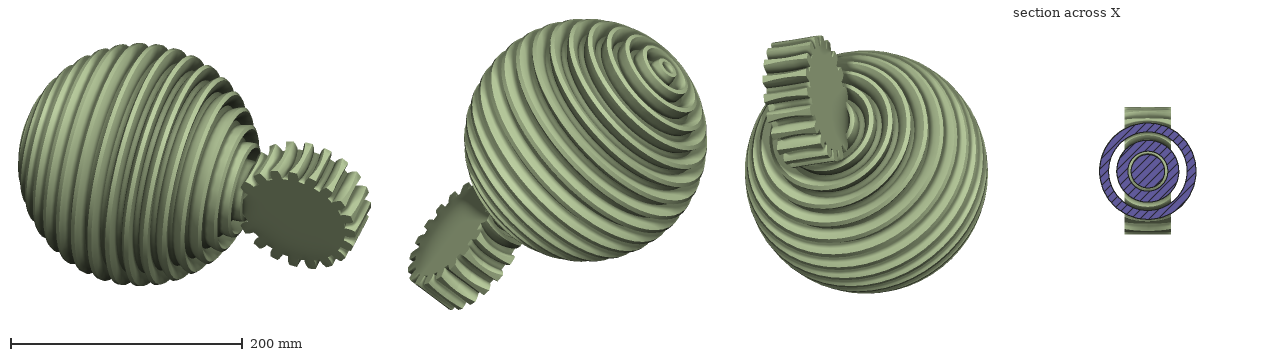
import cadquery as cq
import math

BALL_TEETH = 40
SADDLE_TEETH = 20
PRESSURE_ANGLE = math.radians(20)
OVERALL_LENGTH = 309.8
FACE_WIDTH = 40.0

ADDENDUM_RATIO = 1.0
DEDENDUM_RATIO = 1.25

ball_pitch_step = 2 * math.pi / BALL_TEETH
saddle_pitch_step = 2 * math.pi / SADDLE_TEETH


def half_tooth_angle(teeth, pitch_radius, radius):
    """Half the angle that an involute tooth spans at the given radius."""
    base_radius = pitch_radius * math.cos(PRESSURE_ANGLE)
    roll_angle = math.acos(min(1.0, base_radius / radius))
    involute = math.tan(roll_angle) - roll_angle
    involute_at_pitch = math.tan(PRESSURE_ANGLE) - PRESSURE_ANGLE
    return math.pi / (2 * teeth) + involute_at_pitch - involute


def polar(radius, angle):
    return (radius * math.cos(angle), radius * math.sin(angle))


ball_pitch_modules = BALL_TEETH / 2
ball_tip_modules = ball_pitch_modules + ADDENDUM_RATIO
first_tip_angle = ball_pitch_step / 2 - half_tooth_angle(BALL_TEETH, ball_pitch_modules, ball_tip_modules)
length_modules = (
    ball_tip_modules * math.cos(first_tip_angle)
    + (BALL_TEETH + SADDLE_TEETH) / 2
    + SADDLE_TEETH / 2
    + ADDENDUM_RATIO
)
module = OVERALL_LENGTH / length_modules

addendum = ADDENDUM_RATIO * module
dedendum = DEDENDUM_RATIO * module
ball_pitch_radius = module * BALL_TEETH / 2
ball_tip_radius = ball_pitch_radius + addendum
ball_root_radius = ball_pitch_radius - dedendum
saddle_pitch_radius = module * SADDLE_TEETH / 2
saddle_tip_radius = saddle_pitch_radius + addendum
saddle_root_radius = saddle_pitch_radius - dedendum
centre_distance = ball_pitch_radius + saddle_pitch_radius


def make_ball():
    """Meridian of involute teeth from pole to pole, revolved about X (ball centre at the origin)."""

    def flank_point(radius, tooth_angle, side):
        half_angle = half_tooth_angle(BALL_TEETH, ball_pitch_radius, radius)
        return polar(radius, tooth_angle + side * half_angle)

    outline = cq.Workplane("XY").moveTo(0, 0).lineTo(ball_root_radius, 0)
    for tooth in range(BALL_TEETH // 2):
        tooth_angle = (tooth + 0.5) * ball_pitch_step
        gap_angle = tooth * ball_pitch_step
        root_start = flank_point(ball_root_radius, tooth_angle, -1)
        if tooth == 0:
            outline = outline.lineTo(*root_start)
        else:
            outline = outline.threePointArc(polar(ball_root_radius, gap_angle), root_start)
        outline = (
            outline
            .threePointArc(
                flank_point(ball_pitch_radius, tooth_angle, -1),
                flank_point(ball_tip_radius, tooth_angle, -1),
            )
            .threePointArc(
                polar(ball_tip_radius, tooth_angle),
                flank_point(ball_tip_radius, tooth_angle, 1),
            )
            .threePointArc(
                flank_point(ball_pitch_radius, tooth_angle, 1),
                flank_point(ball_root_radius, tooth_angle, 1),
            )
        )
    outline = outline.lineTo(-ball_root_radius, 0).close()
    return outline.revolve(360, (0, 0, 0), (1, 0, 0))


def make_gap_cutter(gap):
    """Ring with the section of one saddle tooth gap, revolved about the ball axis that meets it.

    The ball turns half as fast as the saddle gear, so the gap at gear angle A is cut by the ring
    whose polar angle is A / 2, with the ball rolled until that ring lies on the line of centres.
    """
    gap_angle = (gap + 0.5) * saddle_pitch_step
    ring_angle = gap_angle * SADDLE_TEETH / BALL_TEETH

    def gap_point(radius, side):
        half_tooth = half_tooth_angle(SADDLE_TEETH, saddle_pitch_radius, radius)
        x, y = polar(radius, side * (saddle_pitch_step / 2 - half_tooth))
        return (centre_distance - x, y)

    tip_x, mouth_half_width = gap_point(saddle_tip_radius, 1)
    mouth_x = tip_x - addendum / 2
    section = (
        cq.Workplane("XZ")
        .moveTo(mouth_x, -mouth_half_width)
        .lineTo(*gap_point(saddle_tip_radius, -1))
        .threePointArc(gap_point(saddle_pitch_radius, -1), gap_point(saddle_root_radius, -1))
        .threePointArc((centre_distance - saddle_root_radius, 0), gap_point(saddle_root_radius, 1))
        .threePointArc(gap_point(saddle_pitch_radius, 1), gap_point(saddle_tip_radius, 1))
        .lineTo(mouth_x, mouth_half_width)
        .close()
    )
    axis_x, axis_z = polar(1, -ring_angle)
    ring = section.revolve(360, (0, 0, 0), (axis_x, axis_z, 0))
    ring = ring.rotate((0, 0, 0), (axis_x, 0, axis_z), 180)
    return ring.rotate((centre_distance, 0, 0), (centre_distance, 1, 0), math.degrees(gap_angle))


def make_saddle_gear(ball):
    """Cylinder about Y with one concave tooth gap per ring, cleared around the ball's pole.

    One quarter is cut, then mirrored in the planes of symmetry Y = 0 and Z = 0.
    """
    quarter_size = (2 * saddle_tip_radius, FACE_WIDTH / 2, saddle_tip_radius)
    quarter = (
        cq.Workplane("XZ")
        .center(centre_distance, 0)
        .circle(saddle_tip_radius)
        .extrude(FACE_WIDTH / 2, both=True)
        .intersect(
            cq.Workplane("XY")
            .box(*quarter_size, centered=(True, False, False))
            .translate((centre_distance, 0, 0))
        )
    )
    for gap in range(SADDLE_TEETH // 2):
        quarter = quarter.cut(make_gap_cutter(gap), clean=False)
    quarter = quarter.cut(ball, clean=False)
    half = quarter.union(quarter.mirror("XZ"), clean=False)
    return half.union(half.mirror("XY"), clean=False)


ball = make_ball()
saddle_gear = make_saddle_gear(ball)

result = cq.Compound.makeCompound([ball.val(), *saddle_gear.vals()])